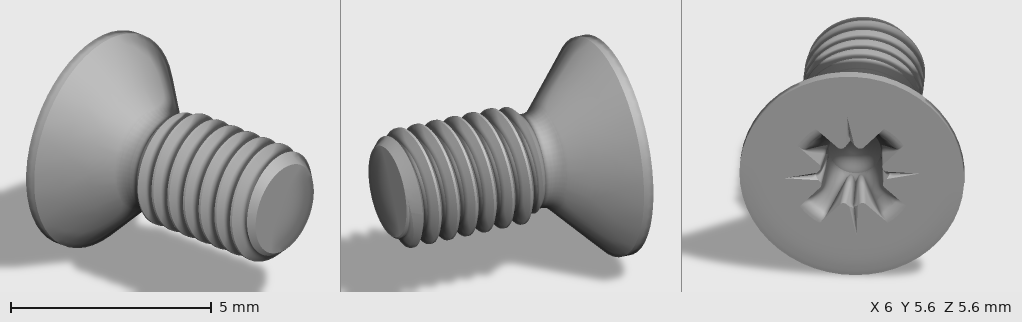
import cadquery as cq
import math


LENGTH = 6
HEAD_RADIUS = 2.8
RIM_THICKNESS = 0.26
CORE_RADIUS = 1.2
NECK_START = 1.72

THREAD_RADIUS = 1.5
PITCH = 0.5
CREST_WIDTH = PITCH / 8
FLANK_ANGLE = 30
CREST_START = 1.74
ROOT_EMBED = 0.03
RUN_IN_START = 2.215
POINT_RADIUS = 1.165

WING_REACH = 1.58
WING_WIDTH = 0.67
WING_ANGLE = 43
LIP_RADIUS = 0.3
WALL_ANGLE = 61
FLOOR_RADIUS = 0.65
TIP_ANGLE = 25
SOCKET_SIDE = 1.355
SOCKET_TAPER = 6.5
SOCKET_FILLET = 0.12

TICK_REACH = 1.685
TICK_ROOT_RADIUS = 0.75
TICK_WIDTH = 0.24
TICK_DEPTH = 0.145
TICK_ANGLE = -4
ROOT_ANGLE = -2.5


def polar(radius, angle):
    """Point at a radius and an angle in degrees."""
    return radius * math.cos(math.radians(angle)), radius * math.sin(math.radians(angle))


def revolve(profile):
    """Revolve a closed (radius, height) outline about the screw axis."""
    return profile.close().revolve(360, (0, 0, 0), (0, 1, 0))


def make_blank():
    """Head, neck fillet, and the shank at the thread root."""
    neck_radius = HEAD_RADIUS - (NECK_START - RIM_THICKNESS)
    fillet = (neck_radius - CORE_RADIUS) / (1 - math.cos(math.radians(45)))
    fillet_x, fillet_z = polar(fillet, 22.5)
    neck_end = NECK_START + fillet * math.sin(math.radians(45))
    profile = (
        cq.Workplane("XZ")
        .lineTo(HEAD_RADIUS, 0)
        .lineTo(HEAD_RADIUS, RIM_THICKNESS)
        .lineTo(neck_radius, NECK_START)
        .threePointArc((CORE_RADIUS + fillet - fillet_x, neck_end - fillet_z), (CORE_RADIUS, neck_end))
        .lineTo(CORE_RADIUS, LENGTH - (CORE_RADIUS - POINT_RADIUS))
        .lineTo(POINT_RADIUS, LENGTH)
        .lineTo(0, LENGTH)
    )
    return revolve(profile)


def make_thread():
    """Helical ridge, trimmed by the run-in cone and the point chamfer."""
    base_radius = CORE_RADIUS - ROOT_EMBED
    half_crest = CREST_WIDTH / 2
    half_base = half_crest + (THREAD_RADIUS - base_radius) * math.tan(math.radians(FLANK_ANGLE))
    helix = cq.Wire.makeHelix(PITCH, LENGTH + PITCH - CREST_START, base_radius)
    ridge = (
        cq.Workplane("XZ")
        .polyline([
            (base_radius, -half_base),
            (THREAD_RADIUS, -half_crest),
            (THREAD_RADIUS, half_crest),
            (base_radius, half_base),
        ])
        .close()
        .sweep(cq.Workplane(helix), isFrenet=True)
        .translate((0, 0, CREST_START))
    )
    inner_radius = base_radius - ROOT_EMBED
    outer_radius = THREAD_RADIUS + ROOT_EMBED
    envelope = revolve(
        cq.Workplane("XZ")
        .moveTo(0, RUN_IN_START - (CORE_RADIUS - inner_radius))
        .lineTo(inner_radius, RUN_IN_START - (CORE_RADIUS - inner_radius))
        .lineTo(outer_radius, RUN_IN_START + (outer_radius - CORE_RADIUS))
        .lineTo(outer_radius, LENGTH - (outer_radius - POINT_RADIUS))
        .lineTo(POINT_RADIUS, LENGTH)
        .lineTo(0, LENGTH)
    )
    return ridge.intersect(envelope)


def make_recess():
    """Crossed wings and a tapered square socket, bounded below by a conical floor."""
    lip_rise, lip_width = polar(LIP_RADIUS, WALL_ANGLE)
    mid_rise, mid_width = polar(LIP_RADIUS, WALL_ANGLE / 2)
    wall_radius = WING_REACH - lip_width
    wall_top = LIP_RADIUS - lip_rise
    floor = wall_top + (wall_radius - FLOOR_RADIUS) * math.tan(math.radians(WALL_ANGLE))
    tip = floor + FLOOR_RADIUS * math.tan(math.radians(TIP_ANGLE))
    envelope = revolve(
        cq.Workplane("XZ")
        .lineTo(WING_REACH, 0)
        .threePointArc((WING_REACH - mid_width, LIP_RADIUS - mid_rise), (wall_radius, wall_top))
        .lineTo(FLOOR_RADIUS, floor)
        .lineTo(0, tip)
    )
    recess = cq.Workplane().rect(SOCKET_SIDE, SOCKET_SIDE).extrude(tip, taper=SOCKET_TAPER)
    for size in ((2 * WING_REACH, WING_WIDTH), (WING_WIDTH, 2 * WING_REACH)):
        recess = recess.union(cq.Workplane().rect(*size).extrude(tip))

    reach = SOCKET_SIDE / 2
    side = WING_WIDTH / 2 + 0.005
    beside_y_wings = cq.selectors.BoxSelector((-side, -reach, 0.06), (side, reach, tip - 0.06))
    beside_x_wings = cq.selectors.BoxSelector((-reach, -side, 0.06), (reach, side, tip - 0.06))
    corners = recess.edges(beside_x_wings + beside_y_wings)
    recess = corners.fillet(SOCKET_FILLET)
    return recess.rotate((0, 0, 0), (0, 0, 1), WING_ANGLE).intersect(envelope)


def make_tick():
    """Pointed V groove, as a tetrahedron with three corners on the head face."""
    tip = cq.Vector(*polar(TICK_REACH, TICK_ANGLE), 0)
    root = cq.Vector(*polar(TICK_ROOT_RADIUS, ROOT_ANGLE), 0)
    side = cq.Vector(*polar(TICK_WIDTH / 2, ROOT_ANGLE + 90), 0)
    corners = [tip, root + side, root - side, root + cq.Vector(0, 0, TICK_DEPTH)]
    faces = []
    for skipped in corners:
        triangle = [corner for corner in corners if corner is not skipped]
        faces.append(cq.Face.makeFromWires(cq.Wire.makePolygon(triangle, close=True)))
    return cq.Workplane(cq.Solid.makeSolid(cq.Shell.makeShell(faces)))


screw = make_blank().union(make_thread()).cut(make_recess())
tick = make_tick()
for quarter in range(4):
    screw = screw.cut(tick.rotate((0, 0, 0), (0, 0, 1), 90 * quarter))

result = screw.rotate((0, 0, 0), (1, 1, 1), 120)